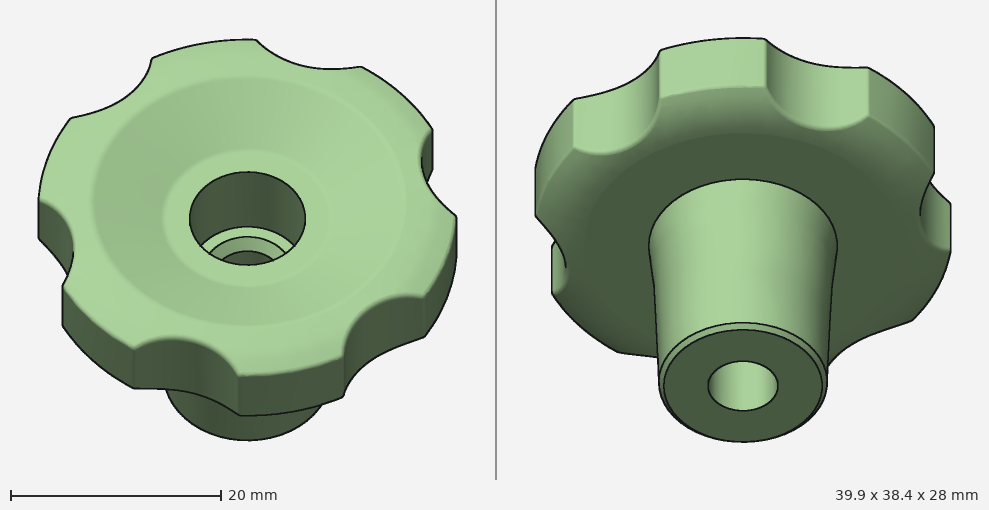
import cadquery as cq
import math

total_height = 28.0
head_radius = 19.95
head_bottom = 18.85
rim_top = 27.05
rim_bottom = 20.55
crown_radius = 15.15
edge_round = 0.48

scallop_count = 6
scallop_radius = 7.38
scallop_floor = 17.15

stem_tip_radius = 8.0
stem_mid_radius = 8.5
stem_mid_height = 14.05
stem_root_radius = 8.97
stem_chamfer = 0.48

dish_rim_radius = 14.85
dish_floor_radius = 7.98
dish_floor_height = 25.2
dish_round = 1.4
bore_radius = 11.0 / 2
bore_depth = 8.77
hole_radius = 6.65 / 2
countersink_radius = 4.3


def dome_point(drop):
    """Halfway point of a dome arc that is level at the crown: (radius, drop there)."""
    run = head_radius - crown_radius
    arc_radius = (run**2 + drop**2) / (2 * drop)
    half_angle = math.asin(run / arc_radius) / 2
    return (
        crown_radius + arc_radius * math.sin(half_angle),
        arc_radius * (1 - math.cos(half_angle)),
    )


def make_head():
    """Domed disc with scallops around its rim and rounded outer edges."""
    top_mid_radius, top_mid_drop = dome_point(total_height - rim_top)
    low_mid_radius, low_mid_rise = dome_point(rim_bottom - head_bottom)
    disc = (
        cq.Workplane("XZ")
        .moveTo(0, head_bottom)
        .lineTo(crown_radius, head_bottom)
        .threePointArc((low_mid_radius, head_bottom + low_mid_rise), (head_radius, rim_bottom))
        .lineTo(head_radius, rim_top)
        .threePointArc((top_mid_radius, total_height - top_mid_drop), (crown_radius, total_height))
        .lineTo(0, total_height)
        .close()
        .revolve(360, (0, 0, 0), (0, 1, 0))
    )
    scallops = (
        cq.Workplane("XY")
        .workplane(offset=head_bottom)
        .polarArray(scallop_floor + scallop_radius, 180 / scallop_count, 360, scallop_count)
        .circle(scallop_radius)
        .extrude(total_height - head_bottom)
    )
    head = disc.cut(scallops)
    selection_reach = crown_radius + 0.4
    rim_edges = [
        edge for edge in head.edges().vals()
        if math.hypot(*edge.positionAt(0.5).toTuple()[:2]) > selection_reach
        and math.hypot(*edge.positionAt(0).toTuple()[:2]) > selection_reach
    ]
    return head.newObject(rim_edges).fillet(edge_round)


def make_stem():
    """Tapered stem with a steeper flare under the head and a chamfered tip."""
    return (
        cq.Workplane("XZ")
        .lineTo(stem_tip_radius - stem_chamfer, 0)
        .lineTo(stem_tip_radius, stem_chamfer)
        .lineTo(stem_mid_radius, stem_mid_height)
        .lineTo(stem_root_radius, head_bottom)
        .lineTo(0, head_bottom)
        .close()
        .revolve(360, (0, 0, 0), (0, 1, 0))
    )


def make_dish():
    """Conical recess in the top of the head."""
    return (
        cq.Workplane("XZ")
        .moveTo(0, dish_floor_height)
        .lineTo(dish_floor_radius, dish_floor_height)
        .lineTo(dish_rim_radius, total_height)
        .lineTo(0, total_height)
        .close()
        .revolve(360, (0, 0, 0), (0, 1, 0))
    )


def make_bore():
    """Through hole, countersunk at the floor of a wider bore."""
    bore_floor = dish_floor_height - bore_depth
    countersink_depth = countersink_radius - hole_radius
    return (
        cq.Workplane("XZ")
        .lineTo(hole_radius, 0)
        .lineTo(hole_radius, bore_floor - countersink_depth)
        .lineTo(countersink_radius, bore_floor)
        .lineTo(bore_radius, bore_floor)
        .lineTo(bore_radius, total_height)
        .lineTo(0, total_height)
        .close()
        .revolve(360, (0, 0, 0), (0, 1, 0))
    )


def round_circle(body, radius, height, size):
    """Fillet the circular edge that has the given radius and height."""
    tolerance = 0.005
    edges = [
        edge for edge in body.edges("%CIRCLE").vals()
        if abs(edge.radius() - radius) < tolerance
        and abs(edge.Center().z - height) < tolerance
    ]
    return body.newObject(edges).fillet(size)


result = make_head().union(make_stem()).cut(make_dish()).cut(make_bore())
result = round_circle(result, dish_floor_radius, dish_floor_height, dish_round)
result = round_circle(result, dish_rim_radius, total_height, dish_round)